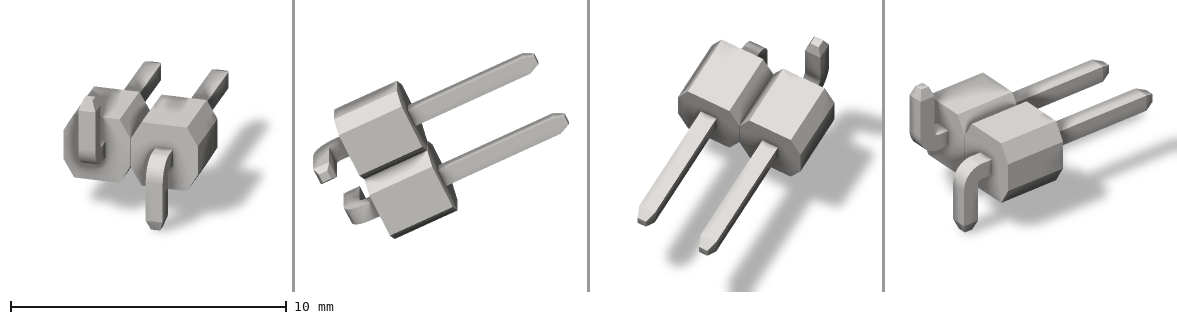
import cadquery as cq

pitch = 2.55
housing_size = 2.53
pin_count = 2
housing_depth = 2.53
corner_width = 0.41
corner_height = 0.7

pin_width = 0.64
pin_length = 8.82
back_reach = 5.0
tail_reach = 2.425
bend_inner_radius = 0.18
tip_length = 0.4
tip_width = 0.34

half_pin = pin_width / 2
bend_outer_radius = bend_inner_radius + pin_width
straight_end = housing_depth + back_reach
tail_face = straight_end - pin_length


def octagon_block(x):
    """Housing block with its four long edges cut off, and a square hole for the pin."""
    half = housing_size / 2
    flat_x = half - corner_width
    flat_z = half - corner_height
    block = (
        cq.Workplane("XZ", origin=(x, 0, 0))
        .polyline([
            (-flat_x, -half), (flat_x, -half), (half, -flat_z), (half, flat_z),
            (flat_x, half), (-flat_x, half), (-half, flat_z), (-half, -flat_z),
        ])
        .close()
        .extrude(-housing_depth)
    )
    hole = cq.Workplane("XZ", origin=(x, 0, 0)).rect(pin_width, pin_width).extrude(-housing_depth)
    return block.cut(hole)


def tapered_tip(plane):
    """Square pyramid stump that ends a leg; the plane's normal points out of the leg."""
    return (
        cq.Workplane(plane)
        .rect(pin_width, pin_width)
        .workplane(offset=tip_length)
        .rect(tip_width, tip_width)
        .loft(ruled=True)
    )


def bent_pin(x, tail_up):
    """L-shaped pin with tapered tips, its short leg pointing up or down."""
    straight_stop = straight_end - tip_length
    tail_stop = tail_reach - tip_length
    bend_y = tail_face + bend_outer_radius
    bend_z = bend_outer_radius - half_pin
    wire = (
        cq.Workplane("YZ", origin=(-half_pin, 0, 0))
        .moveTo(straight_stop, -half_pin)
        .lineTo(bend_y, -half_pin)
        .radiusArc((tail_face, bend_z), bend_outer_radius)
        .lineTo(tail_face, tail_stop)
        .lineTo(tail_face + pin_width, tail_stop)
        .lineTo(tail_face + pin_width, bend_z)
        .radiusArc((bend_y, half_pin), -bend_inner_radius)
        .lineTo(straight_stop, half_pin)
        .close()
        .extrude(pin_width)
    )
    straight_tip = tapered_tip(cq.Plane((0, straight_stop, 0), (1, 0, 0), (0, 1, 0)))
    tail_tip = tapered_tip(cq.Plane((0, tail_face + half_pin, tail_stop), (1, 0, 0), (0, 0, 1)))
    pin = wire.union(straight_tip).union(tail_tip)
    if not tail_up:
        pin = pin.rotate((0, 0, 0), (0, 1, 0), 180)
    return pin.translate((x, 0, 0))


housings = []
pins = []
for index in range(pin_count):
    center_x = (index - (pin_count - 1) / 2) * pitch
    housings.append(octagon_block(center_x).val())
    pins.append(bent_pin(center_x, tail_up=index % 2 == 0).val())

result = cq.Compound.makeCompound([*housings, *pins])